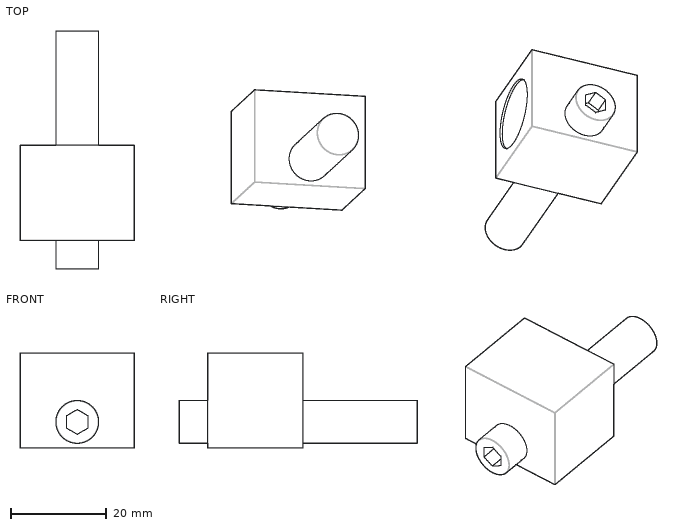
import cadquery as cq
import math

BLOCK_X = 24.0
BLOCK_Y = 20.0
BLOCK_Z = 20.0

RECESS_DIAMETER = 15.0
RECESS_DEPTH = 0.5

SCREW_DIAMETER = 9.0
SCREW_AXIS_Z = 5.5
HEAD_PROJECTION = 6.0
SHANK_PROJECTION = 24.0

SOCKET_ACROSS_FLATS = 4.5
SOCKET_DEPTH = 4.0

EDGE_RADIUS = 0.1

HEAD_Y = -BLOCK_Y / 2 - HEAD_PROJECTION
SCREW_LENGTH = HEAD_PROJECTION + BLOCK_Y + SHANK_PROJECTION


def head_plane():
    """Workplane on the end of the head, with its normal pointing into the screw."""
    origin = (0, HEAD_Y, SCREW_AXIS_Z)
    return cq.Workplane(cq.Plane(origin=origin, xDir=(0, 0, 1), normal=(0, 1, 0)))


def make_block():
    block = cq.Workplane("XY").box(BLOCK_X, BLOCK_Y, BLOCK_Z, centered=(True, True, False))
    return block.edges().fillet(EDGE_RADIUS)


def make_screw():
    """Plain cylinder with the rims of both ends lightly rounded."""
    screw = head_plane().circle(SCREW_DIAMETER / 2).extrude(SCREW_LENGTH)
    return screw.faces("<Y or >Y").edges().fillet(EDGE_RADIUS)


def make_recess():
    """Shallow disc that sinks the recess into the -X face."""
    plane = cq.Workplane("YZ", origin=(-BLOCK_X / 2, 0, BLOCK_Z / 2))
    return plane.circle(RECESS_DIAMETER / 2).extrude(RECESS_DEPTH)


def make_socket():
    """Hexagonal prism with corners facing up and down."""
    across_corners = SOCKET_ACROSS_FLATS / math.cos(math.pi / 6)
    return head_plane().polygon(6, across_corners).extrude(SOCKET_DEPTH)


result = make_block().cut(make_recess()).union(make_screw()).cut(make_socket())